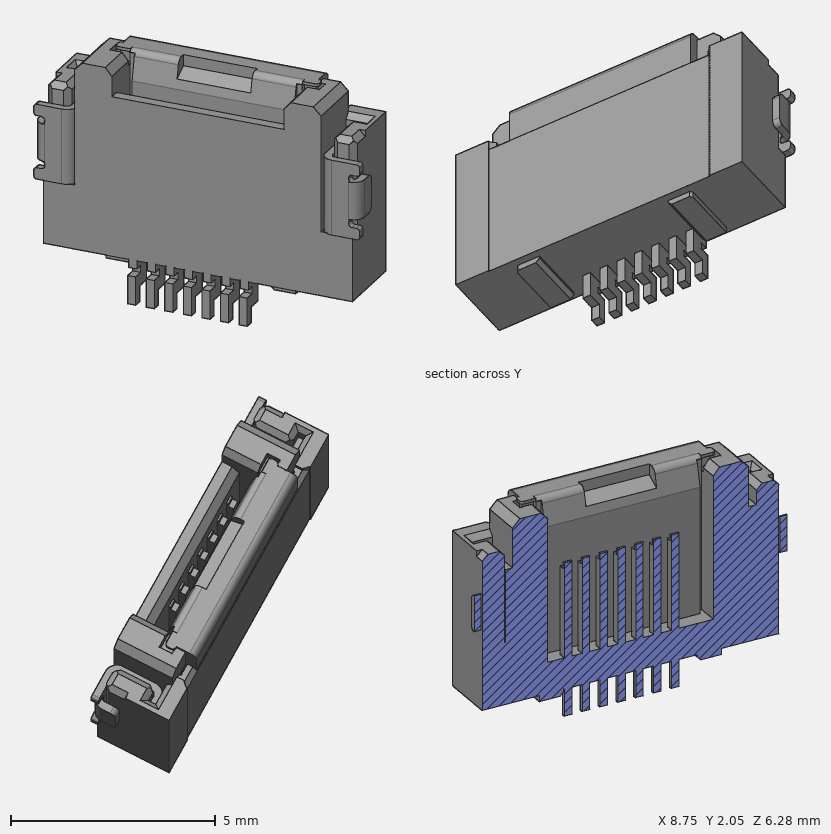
import cadquery as cq

HALF_WIDTH = 4.375
BODY_HALF = 4.15
BODY_DEPTH = 1.98
BODY_TOP = 4.29
TOWER_HALF = 3.31
TOWER_BACK = 1.62
TOWER_TOP = 5.04
TOWER_CHAMFER = 0.21
BACK_RELIEF_HALF = 3.2
BACK_RELIEF = 0.03
BACK_BEVEL = 0.13
LEDGE_DROP = 0.13
GROOVE_HALF = 2.96
GROOVE_WIDTH = 0.04
GROOVE_DEPTH = 0.13

CAVITY_HALF = 2.31
CAVITY_FRONT = 0.48
CAVITY_BACK = 1.08
CAVITY_FLOOR = 0.875
LEAD_IN = 0.2
NOTCH_CHAMFER_X = 0.175

COVER_TOP = 5.12
COVER_HALF = 2.625
COVER_BACK = 1.925
COVER_ROUND = 0.19
COVER_BOTTOM = 4.025
EAR_HALF = 2.73
EAR_FRONT = 1.09
EAR_BACK = 1.37
EAR_ROUND = 0.105
EAR_RECESS_HALF = 2.81
EAR_RECESS_FRONT = 0.99
EAR_RECESS_BACK = 1.35
EAR_RECESS_FLOOR = 4.725
TONGUE_HALF = 2.17
TONGUE_FRONT = 0.89
SLOPE_START = 4.37
NOSE_LOW = (1.02, 4.97)
NOSE_HIGH = (1.22, COVER_TOP)
WINDOW_HALF = 0.99
WINDOW_FRONT = (0.92, 4.6)
WINDOW_BACK = (1.32, 4.82)

POCKET_FLOOR = 1.72
POCKET_OUTER = -3.89
POCKET_BACK = 1.47
BEVEL = 0.16
ARM_RIM_BEVEL = 0.13
POST_FRONT = 0.16
POST_BEVEL_END = 0.76
CLIP_TOP = 3.74
CLIP_FRONT = -0.07
CLIP_THICK = 0.2
CLIP_BEND = 0.315
CLIP_EAR = 0.31
CLIP_ROUND = 0.09
CLIP_PLAY = 0.01
TAB_LOW = 2.23
TAB_HIGH = 3.24
TAB_BACK = 0.62
TAB_BEND = 0.3
TAB_ROUND = 0.16

PIN_COUNT = 7
PIN_PITCH = 0.5
PIN_WIDTH = 0.22
PIN_ROW_CENTER = -PIN_PITCH / 2
FIRST_PIN_X = PIN_ROW_CENTER - (PIN_COUNT - 1) * PIN_PITCH / 2
PIN_BACK = 0.58
PIN_NECK = 0.23
FOOT_BACK = 0.175
PIN_SHOULDER = -0.22
FOOT_TOP = -0.4
PIN_KNEE = -0.74
PIN_TIP = -1.16
BLADE_TOP = 3.5
BLADE_BACK = 0.68
BLADE_STEP_Y = 0.53
BLADE_STEP_Z = 0.175
LUG_OUTER = 2.55
LUG_INNER = 1.86
LUG_FRONT = 0.175
LUG_BACK = 1.75
LUG_HEIGHT = 0.17
LUG_BEVEL = 0.105
LUG_CORNER = 0.06

OVERCUT = 0.09


def block(x0, x1, y0, y1, z0, z1):
    return cq.Workplane("XY").box(x1 - x0, y1 - y0, z1 - z0, centered=False).translate((x0, y0, z0))


def bar_along_x(half_width, points, center=0.0):
    """Prism with a (Y, Z) outline, centred on the given X."""
    outline = cq.Workplane("YZ").polyline(points).close()
    return outline.extrude(half_width, both=True).translate((center, 0, 0))


def ruled_block(low_outline, low_z, high_outline, high_z):
    low = cq.Workplane("XY").workplane(offset=low_z).polyline(low_outline).close()
    high = low.workplane(offset=high_z - low_z).polyline(high_outline).close()
    return high.loft(ruled=True)


def opening_outline(x0, x1, y0, y1, left=0, front=0, back=0):
    return [(x0 - left, y0 - front), (x1, y0 - front), (x1, y1 + back), (x0 - left, y1 + back)]


def rim_bevel(area, **widening):
    """Cutter that widens a rectangular opening over the last stretch below the body top."""
    return ruled_block(opening_outline(*area), BODY_TOP - BEVEL, opening_outline(*area, **widening), BODY_TOP)


def both_sides(left):
    return left.union(left.mirror("YZ"))


def make_housing():
    body = block(-BODY_HALF, BODY_HALF, 0, BODY_DEPTH, 0, BODY_TOP)
    body = body.cut(make_back_relief())
    tower = block(-TOWER_HALF, TOWER_HALF, 0, TOWER_BACK, 0, TOWER_TOP)
    return body.union(tower.edges("|Y and >Z").chamfer(TOWER_CHAMFER))


def make_back_relief():
    """Shallow recess over the whole back and a ledge at its top that slopes down to the back."""
    relief_face = BODY_DEPTH - BACK_RELIEF
    relief = block(-BACK_RELIEF_HALF, BACK_RELIEF_HALF, relief_face, BODY_DEPTH, 0, BODY_TOP)
    ledge_half = BACK_RELIEF_HALF - BACK_BEVEL
    ledge_back = relief_face - BACK_BEVEL
    ledge_top = BODY_TOP - LEDGE_DROP
    plan = cq.Workplane("XY").polyline([
        (-ledge_half, TOWER_BACK), (ledge_half, TOWER_BACK), (ledge_half, ledge_back),
        (BACK_RELIEF_HALF, relief_face), (-BACK_RELIEF_HALF, relief_face), (-ledge_half, ledge_back)])
    section = bar_along_x(BACK_RELIEF_HALF, [
        (TOWER_BACK, BODY_TOP), (TOWER_BACK, ledge_top), (ledge_back, ledge_top),
        (relief_face, ledge_top - BACK_BEVEL), (relief_face, BODY_TOP)])
    groove = block(-GROOVE_HALF, GROOVE_HALF, TOWER_BACK, TOWER_BACK + GROOVE_WIDTH,
                   ledge_top - GROOVE_DEPTH, ledge_top)
    return relief.union(plan.close().extrude(BODY_TOP).intersect(section)).union(groove)


def make_cavity():
    """Plug opening with a bevelled front lip and a notch through the upper front wall."""
    hole = block(-CAVITY_HALF, CAVITY_HALF, CAVITY_FRONT, CAVITY_BACK, CAVITY_FLOOR, COVER_TOP)
    notch = block(-CAVITY_HALF, CAVITY_HALF, -OVERCUT, CAVITY_BACK, BODY_TOP, COVER_TOP)
    lip = bar_along_x(CAVITY_HALF, [
        (CAVITY_FRONT - LEAD_IN, BODY_TOP), (CAVITY_FRONT, BODY_TOP), (CAVITY_FRONT, BODY_TOP - LEAD_IN)])
    wide_half = CAVITY_HALF + NOTCH_CHAMFER_X
    flare = cq.Workplane("XZ", origin=(0, -OVERCUT, 0)).polyline([
        (-CAVITY_HALF, TOWER_TOP - TOWER_CHAMFER), (CAVITY_HALF, TOWER_TOP - TOWER_CHAMFER),
        (wide_half, TOWER_TOP), (-wide_half, TOWER_TOP)]).close()
    flare = flare.extrude(-(EAR_RECESS_FRONT + OVERCUT))
    ear_recess = block(-EAR_RECESS_HALF, EAR_RECESS_HALF, EAR_RECESS_FRONT, EAR_RECESS_BACK,
                       EAR_RECESS_FLOOR, COVER_TOP)
    cheeks = block(-CAVITY_HALF, CAVITY_HALF, CAVITY_BACK, EAR_RECESS_BACK, EAR_RECESS_FLOOR, TOWER_TOP)
    ear_recess = ear_recess.cut(cheeks)
    return hole.union(notch).union(lip).union(flare).union(ear_recess)


def nose_profile():
    """Y-Z outline of the tongue: flat top, rounded nose and sloped front."""
    outline = cq.Workplane("YZ").moveTo(EAR_BACK, COVER_TOP).lineTo(*NOSE_HIGH)
    outline = outline.tangentArcPoint(NOSE_LOW, relative=False)
    outline = outline.lineTo(TONGUE_FRONT, SLOPE_START).lineTo(TONGUE_FRONT, CAVITY_FLOOR)
    return outline.lineTo(EAR_BACK, CAVITY_FLOOR).close()


def make_cover():
    """Cover plate with a rounded back edge, two side ears and the tongue."""
    back = block(-COVER_HALF, COVER_HALF, NOSE_HIGH[0], COVER_BACK, COVER_BOTTOM, COVER_TOP)
    back = back.edges("|X and >Y and >Z").fillet(COVER_ROUND)
    ears = block(-EAR_HALF, EAR_HALF, EAR_FRONT, EAR_BACK, TOWER_TOP, COVER_TOP)
    ears = ears.edges("|Z").fillet(EAR_ROUND)
    nose_zone = block(-CAVITY_HALF, CAVITY_HALF, 0, EAR_BACK, TOWER_TOP, COVER_TOP)
    nose = nose_profile().extrude(CAVITY_HALF, both=True).intersect(nose_zone)
    tongue = nose_profile().extrude(TONGUE_HALF, both=True)
    return back.union(ears.cut(nose_zone)).union(nose).union(tongue)


def make_window():
    """Central notch in the cover with a sloped floor."""
    return bar_along_x(WINDOW_HALF, [
        (CAVITY_FRONT, WINDOW_FRONT[1]), WINDOW_FRONT, WINDOW_BACK,
        (WINDOW_BACK[0], COVER_TOP), (CAVITY_FRONT, COVER_TOP)])


def corner_clip(x, y, toward_x, toward_y):
    """Triangular cutter for one upright edge of the post."""
    clip = cq.Workplane("XY").workplane(offset=POCKET_FLOOR)
    clip = clip.polyline([(x, y), (x + toward_x * BEVEL, y), (x, y + toward_y * BEVEL)]).close()
    return clip.extrude(BODY_TOP - POCKET_FLOOR)


def make_left_pocket():
    """Hooked slot for the clip; it leaves a bevelled post standing at the body corner."""
    post_inner = -TOWER_HALF - CLIP_THICK - CLIP_PLAY
    post_back = POCKET_BACK - CLIP_THICK
    outside = -BODY_HALF - OVERCUT
    arm = (POCKET_OUTER, -TOWER_HALF, post_back, POCKET_BACK)
    leg = (post_inner, -TOWER_HALF, 0, POCKET_BACK)
    front = (outside, -TOWER_HALF, -OVERCUT, POST_FRONT)
    pocket = rim_bevel(arm, left=ARM_RIM_BEVEL, front=BEVEL, back=TOWER_BACK - POCKET_BACK)
    pocket = pocket.union(rim_bevel(leg, left=BEVEL)).union(rim_bevel(front, back=BEVEL))
    for area in (arm, leg, front):
        pocket = pocket.union(block(*area, POCKET_FLOOR, BODY_TOP))
    side_section = [(-BODY_HALF, BODY_TOP - BEVEL), (-BODY_HALF, BODY_TOP), (-BODY_HALF + BEVEL, BODY_TOP)]
    pocket = pocket.union(cq.Workplane("XZ").polyline(side_section).close().extrude(-POST_BEVEL_END))
    pocket = pocket.union(corner_clip(-BODY_HALF, POST_FRONT, 1, 1))
    pocket = pocket.union(corner_clip(post_inner, POST_FRONT, -1, 1))
    return pocket.union(corner_clip(post_inner, post_back, -1, -1))


def make_left_clip():
    """Bent sheet clip: arm in the pocket, leg along the tower, foot in front and a folded side tab."""
    inner_bend = CLIP_BEND - CLIP_THICK
    leg_in = -TOWER_HALF
    leg_out = leg_in - CLIP_THICK
    bend_x = leg_in - CLIP_BEND
    bend_back = POCKET_BACK - CLIP_BEND
    bend_front = CLIP_FRONT + CLIP_BEND
    foot_back = CLIP_FRONT + CLIP_THICK
    strip = (
        cq.Workplane("XY").workplane(offset=POCKET_FLOOR)
        .moveTo(POCKET_OUTER, POCKET_BACK).lineTo(bend_x, POCKET_BACK)
        .tangentArcPoint((leg_in, bend_back), relative=False)
        .lineTo(leg_in, bend_front)
        .tangentArcPoint((bend_x, CLIP_FRONT), relative=False)
        .lineTo(-HALF_WIDTH, CLIP_FRONT).lineTo(-HALF_WIDTH, foot_back).lineTo(bend_x, foot_back)
        .tangentArcPoint((leg_out, foot_back + inner_bend), relative=False)
        .lineTo(leg_out, bend_back)
        .tangentArcPoint((bend_x, POCKET_BACK - CLIP_THICK), relative=False)
        .lineTo(POCKET_OUTER, POCKET_BACK - CLIP_THICK).close()
        .extrude(CLIP_TOP - POCKET_FLOOR)
    )
    tab_bend_x = -HALF_WIDTH + TAB_BEND
    tab_bend_y = CLIP_FRONT + TAB_BEND
    outside = -HALF_WIDTH - 2 * CLIP_ROUND
    for low, high in ((POCKET_FLOOR + CLIP_EAR, TAB_LOW), (TAB_HIGH, CLIP_TOP - CLIP_EAR)):
        gap = block(outside, tab_bend_x, CLIP_FRONT, foot_back, low, high)
        strip = strip.cut(gap.edges("|Y and >X").fillet(CLIP_ROUND))
    strip = strip.cut(block(outside, tab_bend_x, CLIP_FRONT, foot_back, TAB_LOW, TAB_HIGH))
    strip = strip.edges("|Y and <X").fillet(CLIP_ROUND)
    tab_in = -HALF_WIDTH + CLIP_THICK
    tab = (
        cq.Workplane("XY").workplane(offset=TAB_LOW)
        .moveTo(tab_bend_x + CLIP_THICK, CLIP_FRONT).lineTo(tab_bend_x, CLIP_FRONT)
        .tangentArcPoint((-HALF_WIDTH, tab_bend_y), relative=False)
        .lineTo(-HALF_WIDTH, TAB_BACK).lineTo(tab_in, TAB_BACK).lineTo(tab_in, tab_bend_y)
        .tangentArcPoint((tab_bend_x, foot_back), relative=False)
        .lineTo(tab_bend_x + CLIP_THICK, foot_back).close()
        .extrude(TAB_HIGH - TAB_LOW)
    )
    tab = tab.edges("|X and >Y").fillet(TAB_ROUND)
    return strip.union(tab)


def make_pin(x):
    """Stepped solder tail below the body and a contact blade inside the cavity."""
    tail = [(0, CAVITY_FLOOR), (0, PIN_SHOULDER), (PIN_NECK, PIN_SHOULDER), (PIN_NECK, FOOT_TOP),
            (CLIP_FRONT, FOOT_TOP), (CLIP_FRONT, PIN_TIP), (FOOT_BACK, PIN_TIP), (FOOT_BACK, PIN_KNEE),
            (PIN_BACK, PIN_KNEE), (PIN_BACK, CAVITY_FLOOR)]
    blade = [(CAVITY_FRONT, CAVITY_FLOOR), (BLADE_BACK, CAVITY_FLOOR), (BLADE_BACK, BLADE_TOP - BLADE_STEP_Z),
             (BLADE_STEP_Y, BLADE_TOP - BLADE_STEP_Z), (BLADE_STEP_Y, BLADE_TOP), (CAVITY_FRONT, BLADE_TOP)]
    return bar_along_x(PIN_WIDTH / 2, tail, x).union(bar_along_x(PIN_WIDTH / 2, blade, x))


def make_left_lug():
    lug = block(-LUG_OUTER, -LUG_INNER, LUG_FRONT, LUG_BACK, -LUG_HEIGHT, 0)
    lug = lug.edges("|Y and >X and <Z").chamfer(LUG_BEVEL)
    return lug.edges("|Z and <X and >Y").chamfer(LUG_CORNER)


result = make_housing().cut(make_cavity()).union(make_cover()).cut(make_window())
result = result.cut(both_sides(make_left_pocket()))
result = result.union(both_sides(make_left_clip())).union(both_sides(make_left_lug()))
for pin_index in range(PIN_COUNT):
    result = result.union(make_pin(FIRST_PIN_X + pin_index * PIN_PITCH))